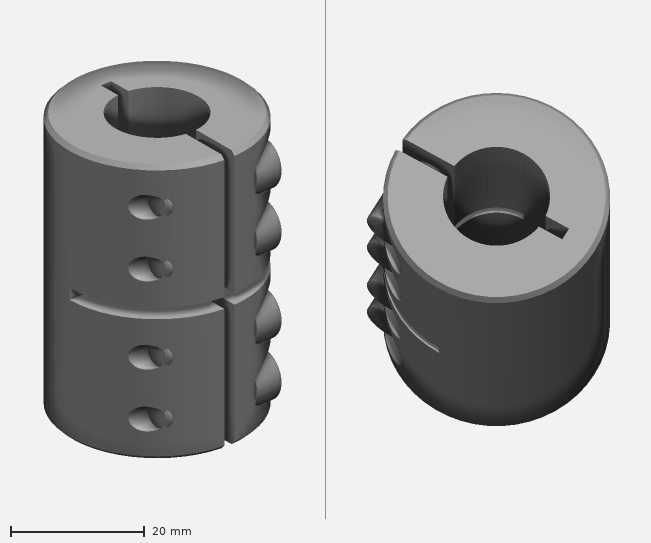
import cadquery as cq

body_diameter = 34.0
body_length = 50.0
bore_diameter = 16.0
edge_chamfer = 0.7

slit_width = 2.0
relief_depth = 12.0

screw_diameter = 5.0
screw_length = 16.0
screw_tip_chamfer = 0.4
head_diameter = 8.5
head_height = 5.0
head_edge_fillet = 0.5
screw_x = 12.0
head_seat_y = 6.0
outer_screw_inset = 7.0
screw_pitch = 10.5
counterbore_diameter = 9.0
tapped_hole_diameter = 4.2

body_radius = body_diameter / 2
screw_tip_y = head_seat_y - screw_length
end_screw_heights = [outer_screw_inset, outer_screw_inset + screw_pitch]
screw_heights = end_screw_heights + [body_length - z for z in end_screw_heights]


def rod_along_y(diameter, y_start, y_end, z):
    """Cylinder on a screw axis, running from y_start up to y_end."""
    origin = (screw_x, y_start, z)
    plane = cq.Plane(origin=origin, xDir=(1, 0, 0), normal=(0, 1, 0))
    return cq.Workplane(plane).circle(diameter / 2).extrude(y_end - y_start)


def make_body():
    """Chamfered cylinder with its through bore."""
    cylinder = cq.Workplane("XY").circle(body_radius).extrude(body_length)
    cylinder = cylinder.edges("%CIRCLE").chamfer(edge_chamfer)
    bore = cq.Workplane("XY").circle(bore_diameter / 2).extrude(body_length)
    return cylinder.cut(bore)


def make_lengthwise_slit():
    """Slit open to +X and ending blind in the wall on the -X side."""
    slit_length = body_radius + relief_depth
    return (
        cq.Workplane("XY")
        .center(slit_length / 2 - relief_depth, 0)
        .rect(slit_length, slit_width)
        .extrude(body_length)
    )


def make_cross_slit():
    """Slit at mid-length that separates the two clamps over the +X half."""
    return (
        cq.Workplane("XY")
        .box(body_radius, body_diameter, slit_width, centered=(False, True, True))
        .translate((0, 0, body_length / 2))
    )


def make_screw_hole(z):
    """Counterbore above the head seat and tapped hole out to the -Y side."""
    counterbore = rod_along_y(counterbore_diameter, head_seat_y, body_radius, z)
    tapped_hole = rod_along_y(tapped_hole_diameter, -body_radius, head_seat_y, z)
    return counterbore.union(tapped_hole)


def make_screw(z):
    """Cap screw with a rounded head edge and a chamfered tip."""
    shank = rod_along_y(screw_diameter, screw_tip_y, head_seat_y, z)
    shank = shank.faces("<Y").chamfer(screw_tip_chamfer)
    head_top_y = head_seat_y + head_height
    head = rod_along_y(head_diameter, head_seat_y, head_top_y, z)
    head = head.faces(">Y").edges().fillet(head_edge_fillet)
    return shank.union(head)


result = make_body().cut(make_lengthwise_slit()).cut(make_cross_slit())
for height in screw_heights:
    result = result.cut(make_screw_hole(height))
    result = result.union(make_screw(height))